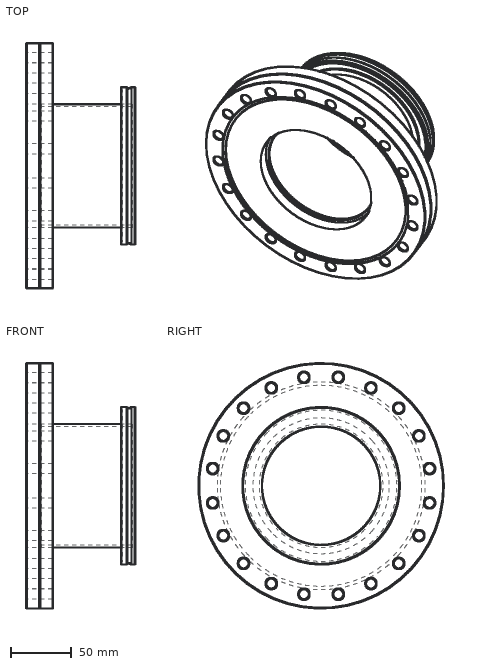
import cadquery as cq
import math


total_length = 90.0
edge_chamfer = 0.6

bolted_flange_diameter = 202.5
bolted_flange_thickness = 22.0
rim_groove_depth = edge_chamfer
rim_groove_half_width = edge_chamfer
seal_recess_diameter = 171.5
seal_recess_depth = 1.2
knife_diameter = 166.0
knife_angle = 20.0
front_bore_depth = 10.5

bolt_count = 20
bolt_circle_diameter = 181.0
bolt_hole_diameter = 8.3
bolt_hole_chamfer = 0.6

tube_outer_diameter = 102.0
tube_inner_diameter = 98.0
socket_diameter = tube_outer_diameter
lip_diameter = 97.5
lip_thickness = 2.2

clamp_flange_diameter = 130.0
clamp_flange_thickness = 12.0
clamp_recess_inner_diameter = 112.4
clamp_recess_outer_diameter = 125.0
clamp_recess_depth = 1.6
clamp_groove_start = 5.5
clamp_groove_width = 3.2
clamp_groove_depth = 1.2

clamp_flange_start = total_length - clamp_flange_thickness
tube_start = front_bore_depth + lip_thickness
tube_end = total_length - lip_thickness


def revolve_profile(sketch):
    """Turn a closed profile of (x, radius) points about the X axis."""
    return sketch.close().revolve(360, (0, 0, 0), (1, 0, 0))


def ring(x_start, x_end, outer_diameter, inner_diameter):
    """Plain cylindrical ring around the X axis."""
    return (
        cq.Workplane("YZ", origin=(x_start, 0, 0))
        .circle(outer_diameter / 2)
        .circle(inner_diameter / 2)
        .extrude(x_end - x_start)
    )


def disc(x_start, x_end, diameter):
    """Plain cylinder on the X axis."""
    return cq.Workplane("YZ", origin=(x_start, 0, 0)).circle(diameter / 2).extrude(x_end - x_start)


def bolt_hole_cutter():
    """Bolt hole on the X axis, widened by a chamfer at both flange faces."""
    radius = bolt_hole_diameter / 2
    wide_radius = radius + bolt_hole_chamfer
    return revolve_profile(
        cq.Workplane("XY")
        .lineTo(0, wide_radius)
        .lineTo(bolt_hole_chamfer, radius)
        .lineTo(bolted_flange_thickness - bolt_hole_chamfer, radius)
        .lineTo(bolted_flange_thickness, wide_radius)
        .lineTo(bolted_flange_thickness, 0)
    )


def rim_groove_cutter():
    """V groove around the middle of the bolted flange's rim."""
    rim_radius = bolted_flange_diameter / 2
    middle = bolted_flange_thickness / 2
    return revolve_profile(
        cq.Workplane("XY")
        .moveTo(middle - rim_groove_half_width, rim_radius)
        .lineTo(middle, rim_radius - rim_groove_depth)
        .lineTo(middle + rim_groove_half_width, rim_radius)
    )


def seal_recess_cutter():
    """Recess in the -X face, leaving a knife edge that stands above its floor."""
    recess_radius = seal_recess_diameter / 2
    knife_radius = knife_diameter / 2
    knife_height = (recess_radius - knife_radius) * math.tan(math.radians(knife_angle))
    return revolve_profile(
        cq.Workplane("XY")
        .lineTo(0, recess_radius)
        .lineTo(seal_recess_depth, recess_radius)
        .lineTo(seal_recess_depth - knife_height, knife_radius)
        .lineTo(seal_recess_depth, knife_radius)
        .lineTo(seal_recess_depth, 0)
    )


def make_bolted_flange():
    flange = disc(0, bolted_flange_thickness, bolted_flange_diameter).edges().chamfer(edge_chamfer)
    flange = flange.cut(rim_groove_cutter()).cut(seal_recess_cutter())

    flange = flange.cut(disc(0, front_bore_depth, socket_diameter))
    flange = flange.cut(disc(0, bolted_flange_thickness, lip_diameter))
    flange = flange.cut(disc(tube_start, bolted_flange_thickness, socket_diameter))

    bolt_pitch = 360 / bolt_count
    first_hole = bolt_hole_cutter().translate((0, bolt_circle_diameter / 2, 0))
    for index in range(bolt_count):
        angle = (index + 0.5) * bolt_pitch
        flange = flange.cut(first_hole.rotate((0, 0, 0), (1, 0, 0), angle))
    return flange


def make_tube():
    return ring(tube_start, tube_end, tube_outer_diameter, tube_inner_diameter)


def clamp_groove_cutter():
    """Rim groove with a chamfered -X wall and a floor that curves up to the rim on the +X side."""
    rim_radius = clamp_flange_diameter / 2
    floor_radius = rim_radius - clamp_groove_depth
    start = clamp_flange_start + clamp_groove_start
    end = start + clamp_groove_width

    curve_radius = (clamp_groove_width**2 + clamp_groove_depth**2) / (2 * clamp_groove_depth)
    return revolve_profile(
        cq.Workplane("XY")
        .moveTo(start - edge_chamfer, rim_radius)
        .lineTo(start, rim_radius - edge_chamfer)
        .lineTo(start, floor_radius)
        .radiusArc((end, rim_radius), -curve_radius)
    )


def make_clamp_flange():
    flange = disc(clamp_flange_start, total_length, clamp_flange_diameter)
    flange = flange.edges().chamfer(edge_chamfer)
    flange = flange.cut(clamp_groove_cutter())
    flange = flange.cut(
        ring(
            clamp_flange_start,
            clamp_flange_start + clamp_recess_depth,
            clamp_recess_outer_diameter,
            clamp_recess_inner_diameter,
        )
    )

    flange = flange.cut(disc(clamp_flange_start, tube_end, socket_diameter))
    return flange.cut(disc(clamp_flange_start, total_length, lip_diameter))


bolted_flange = make_bolted_flange()
tube = make_tube()
clamp_flange = make_clamp_flange()

result = cq.Compound.makeCompound([bolted_flange.val(), tube.val(), clamp_flange.val()])